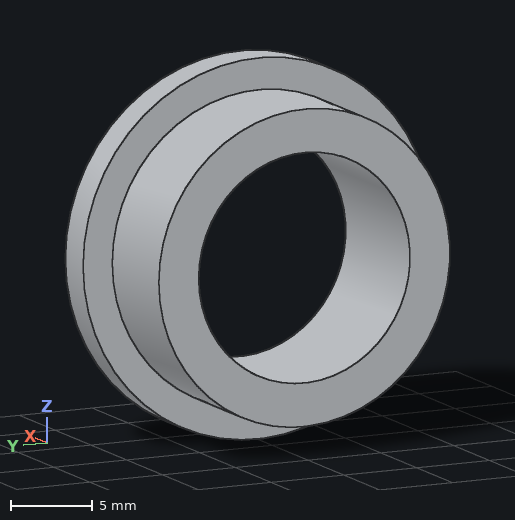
import cadquery as cq

total_length = 9.0
flange_thickness = 2.5
flange_diameter = 24.0
sleeve_diameter = 20.0
bore_diameter = 14.5

sleeve = cq.Workplane("YZ").circle(sleeve_diameter / 2).extrude(total_length)

flange = (
    cq.Workplane("YZ", origin=(total_length - flange_thickness, 0, 0))
    .circle(flange_diameter / 2)
    .extrude(flange_thickness)
)

bore = cq.Workplane("YZ").circle(bore_diameter / 2).extrude(total_length)

result = sleeve.union(flange).cut(bore)